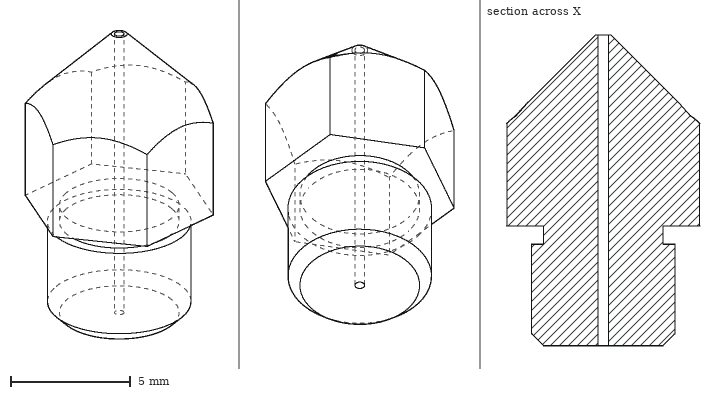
import cadquery as cq
import math

total_height = 13.0
across_flats = 7.0
thread_diameter = 6.0
neck_diameter = 5.0
tip_diameter = 0.66
orifice_diameter = 0.4

thread_height = 4.25
neck_height = 0.75
end_chamfer = (thread_diameter - neck_diameter) / 2

hex_base = thread_height + neck_height
hex_height = total_height - hex_base
across_corners = across_flats / math.cos(math.radians(30))


def make_shank():
    """Chamfered cylinder with a narrower neck below the hexagon."""
    thread = cq.Workplane("XY").circle(thread_diameter / 2).extrude(thread_height)
    thread = thread.faces("<Z").chamfer(end_chamfer)
    neck = (
        cq.Workplane("XY")
        .workplane(offset=thread_height)
        .circle(neck_diameter / 2)
        .extrude(neck_height)
    )
    return thread.union(neck)


def make_head():
    """Hexagon with corners on the Y axis, turned down to a 45 degree cone."""
    hexagon = (
        cq.Workplane("XY")
        .workplane(offset=hex_base)
        .transformed(rotate=(0, 0, 90))
        .polygon(6, across_corners)
        .extrude(hex_height)
    )
    tip_radius = tip_diameter / 2
    envelope_radius = tip_radius + hex_height
    envelope = (
        cq.Workplane("XZ")
        .moveTo(0, hex_base)
        .lineTo(envelope_radius, hex_base)
        .lineTo(tip_radius, total_height)
        .lineTo(0, total_height)
        .close()
        .revolve(360, (0, 0, 0), (0, 1, 0))
    )
    return hexagon.intersect(envelope)


orifice = cq.Workplane("XY").circle(orifice_diameter / 2).extrude(total_height)

result = make_shank().union(make_head()).cut(orifice)